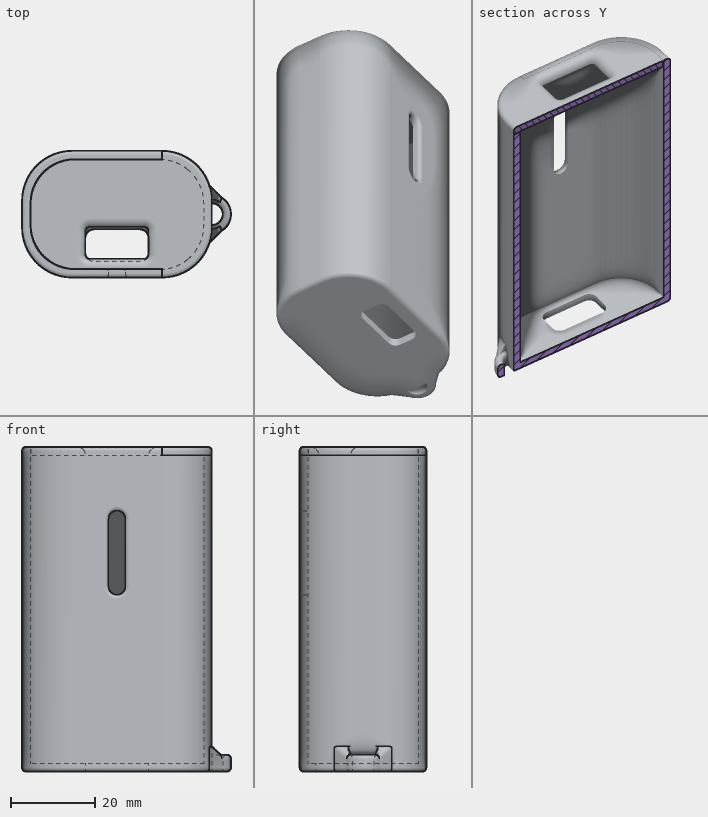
import cadquery as cq
import math

case_length = 45.2
case_width = 30.2
case_height = 77.2
corner_radius = 12.0
wall = 2.0
pocket_corner_radius = 10.5
rim_round = 1.0

lid_thickness = wall
lid_bottom = case_height - lid_thickness
lid_clearance = 0.1
lid_step_x = case_length / 2 - corner_radius

window_length = 15.0
window_width = 7.6
window_corner_radius = 1.0
window_round = lid_thickness
window_y = -6.8
floor_opening_shift = -0.6
floor_opening_corner_radius = 2.0

slot_width = 4.0
slot_length = 20.0
slot_round = 1.0
slot_z = 52.0

loop_height = 4.0
loop_radius = 4.55
loop_hole_radius = 2.55
loop_hole_round = 0.9
loop_x = case_length / 2
gusset_height = 2.0
gusset_half_width = 6.25
gusset_reach = 3.2


def rounded_block(length, width, radius, bottom, top):
    """Upright block with rounded vertical edges, centred on the Z axis."""
    return (
        cq.Workplane("XY", origin=(0, 0, bottom))
        .rect(length, width)
        .extrude(top - bottom)
        .edges("|Z")
        .fillet(radius)
    )


def pocket_block(clearance, bottom, top):
    """Block that fills the pocket inside the case walls, less a clearance all round."""
    inset = wall + clearance
    return rounded_block(
        case_length - 2 * inset,
        case_width - 2 * inset,
        pocket_corner_radius - clearance,
        bottom,
        top,
    )


def end_block(start_x, bottom, top):
    """Box that reaches from start_x to beyond the +X end of the case."""
    return cq.Workplane("XY", origin=(start_x, 0, bottom)).box(
        case_length, 2 * case_width, top - bottom, centered=(False, True, False)
    )


def make_gusset():
    """Foot that flares out of the +X end wall at 45 degrees and runs into the loop."""
    flare_top = loop_height + gusset_height
    root_x = loop_x - wall
    tip_x = loop_x + gusset_reach
    root_y = gusset_half_width + wall
    tip_y = gusset_half_width - gusset_reach

    prism = (
        cq.Workplane("XY")
        .polyline([(root_x, root_y), (tip_x, tip_y), (tip_x, -tip_y), (root_x, -root_y)])
        .close()
        .extrude(flare_top)
    )

    outline = cq.Sketch().rect(case_length, case_width).vertices().fillet(corner_radius)
    flare = (
        cq.Workplane("XY", origin=(0, 0, flare_top))
        .placeSketch(outline)
        .extrude(-flare_top, taper=-45)
    )
    return prism.intersect(flare).edges("%HYPERBOLA").fillet(rim_round)


def make_loop_hole():
    """Half-round hole between the loop and the end wall, flared at its top edge."""
    mouth_radius = loop_hole_radius + loop_hole_round
    flare_start = loop_height - loop_hole_round
    bend = loop_hole_round * (1 - math.sqrt(0.5))
    mouth_top = loop_height + gusset_height
    return (
        cq.Workplane("XZ")
        .lineTo(loop_hole_radius, 0)
        .lineTo(loop_hole_radius, flare_start)
        .threePointArc(
            (loop_hole_radius + bend, loop_height - bend), (mouth_radius, loop_height)
        )
        .lineTo(mouth_radius, mouth_top)
        .lineTo(0, mouth_top)
        .close()
        .revolve(180, (0, 0, 0), (0, 1, 0))
        .rotate((0, 0, 0), (0, 0, 1), -90)
        .translate((loop_x, 0, 0))
    )


def make_envelope():
    """Case and lid as one block, with rounded rims and the lanyard loop."""
    block = rounded_block(case_length, case_width, corner_radius, 0, case_height)
    block = block.faces(">Z").edges().fillet(rim_round)
    loop = (
        cq.Workplane("XY")
        .center(loop_x, 0)
        .circle(loop_radius)
        .extrude(loop_height)
        .faces(">Z")
        .edges()
        .fillet(rim_round)
    )
    joined = block.union(loop).union(make_gusset())
    return joined.faces("<Z").edges().fillet(rim_round).cut(make_loop_hole())


def make_case(envelope):
    """Hollow case with an open top, a floor opening and a slot."""
    front_y = -case_width / 2
    cavity = pocket_block(0, wall, case_height)
    lid_space = end_block(lid_step_x, lid_bottom, case_height)
    floor_opening = rounded_block(
        window_length, window_width, floor_opening_corner_radius, 0, wall
    ).translate((0, window_y + floor_opening_shift, 0))
    slot = (
        cq.Workplane("XZ", origin=(0, front_y + wall, slot_z))
        .slot2D(slot_length, slot_width, 90)
        .extrude(wall)
    )
    case = envelope.cut(cavity).cut(lid_space).cut(floor_opening).cut(slot)

    slot_mouth = cq.selectors.BoxSelector(
        (-slot_width, front_y - slot_round, slot_z - slot_length),
        (slot_width, front_y + slot_round, slot_z + slot_length),
        boundingbox=True,
    )
    return case.edges(slot_mouth).fillet(slot_round)


def make_window_frame():
    """Oversized plate with the window, whose edge is a quarter round over the lid thickness."""
    plate_bottom = lid_bottom - lid_thickness
    plate = rounded_block(
        2 * case_length, 2 * case_width, corner_radius, plate_bottom, case_height
    )
    window = rounded_block(
        window_length, window_width, window_corner_radius, plate_bottom, case_height
    ).translate((0, window_y, 0))
    window_rim = cq.selectors.BoxSelector(
        (-window_length, window_y - window_width, lid_bottom),
        (window_length, window_y + window_width, case_height + lid_thickness),
        boundingbox=True,
    )
    return plate.cut(window).edges(window_rim).fillet(window_round)


def make_lid(envelope):
    """Flush lid: inset within the case walls, full outline at the +X end."""
    inset_part = pocket_block(lid_clearance, lid_bottom, case_height)
    end_part = end_block(lid_step_x + lid_clearance, lid_bottom, case_height)
    outline = inset_part.union(end_part)
    return envelope.intersect(outline).intersect(make_window_frame())


envelope = make_envelope()
case = make_case(envelope)
lid = make_lid(envelope)

result = cq.Compound.makeCompound([case.solids().val(), lid.solids().val()])